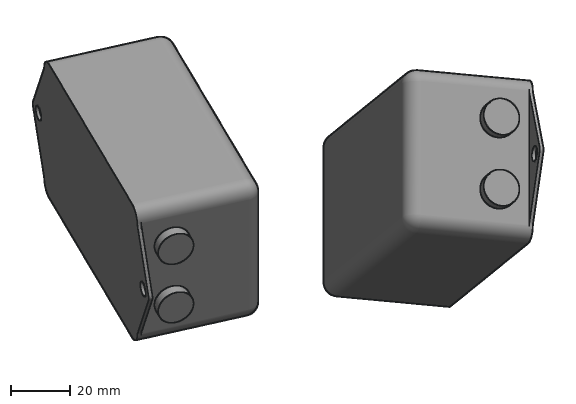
import cadquery as cq
import math

body_length = 91.9
body_depth = 45.0
body_height = 57.0
edge_radius = 5.0

overall_length = 114.4
ear_thickness = 1.4
ear_tip_radius = 1.7
ear_root_height = 46.7
ear_root_radius = 3.0
ear_hole_spacing = 103
ear_hole_diameter = 5.3

knockout_diameter = 12.7
knockout_projection = 3.8
knockout_spacing = 25.0
knockout_from_back = 12.5


def make_rounded_block(depth):
    """Block standing on the back plane, with its four edges along Y rounded."""
    block = cq.Workplane("XY").box(
        body_length, depth, body_height, centered=(True, False, True)
    )
    return block.edges("|Y").fillet(edge_radius)


def make_body():
    """Rounded block with a rounded front rim."""
    return make_rounded_block(body_depth).faces(">Y").edges().fillet(edge_radius)


def sharp_tip_distance():
    """X of the ear's sharp corner, which its rounding cuts back to the overall length."""
    half_root = ear_root_height / 2
    tip_center = overall_length / 2 - ear_tip_radius
    run = tip_center - body_length / 2
    center_distance = math.hypot(run, half_root)
    center_angle = math.atan2(half_root, run)
    taper_angle = center_angle - math.asin(ear_tip_radius / center_distance)
    return tip_center + ear_tip_radius / math.sin(taper_angle)


def make_ears():
    """Back plate whose pointed ends form the two drilled ears."""
    half_body = body_length / 2
    half_root = ear_root_height / 2
    sharp_tip = sharp_tip_distance()

    hexagon = (
        cq.Workplane("XZ")
        .moveTo(sharp_tip, 0)
        .lineTo(half_body, half_root)
        .lineTo(-half_body, half_root)
        .lineTo(-sharp_tip, 0)
        .lineTo(-half_body, -half_root)
        .lineTo(half_body, -half_root)
        .close()
        .extrude(-ear_thickness)
        .edges("|Y and (>X or <X)")
        .fillet(ear_tip_radius)
    )
    plate = make_rounded_block(ear_thickness).union(hexagon)

    root_clearance = 0.6
    for x_side in (-1, 1):
        for z_side in (-1, 1):
            corner = cq.Vector(x_side * half_body, ear_thickness / 2, z_side * half_root)
            corner_box = cq.selectors.BoxSelector(
                corner - cq.Vector(root_clearance, ear_thickness, root_clearance),
                corner + cq.Vector(root_clearance, ear_thickness, root_clearance),
            )
            plate = plate.edges("|Y").edges(corner_box).fillet(ear_root_radius)

    holes = (
        cq.Workplane("XZ")
        .rarray(ear_hole_spacing, 1.1, 2, 1)
        .circle(ear_hole_diameter / 2)
        .extrude(-ear_thickness)
    )
    return plate.cut(holes)


def make_knockouts():
    """Round bars through the body, whose ends stand out as the knockouts."""
    bar_length = body_length + 2 * knockout_projection
    return (
        cq.Workplane("YZ")
        .center(knockout_from_back, 0)
        .rarray(1.1, knockout_spacing, 1, 2)
        .circle(knockout_diameter / 2)
        .extrude(bar_length / 2, both=True)
    )


enclosure = make_body().union(make_ears()).union(make_knockouts())
result = enclosure.translate((0, -body_depth / 2, 0))